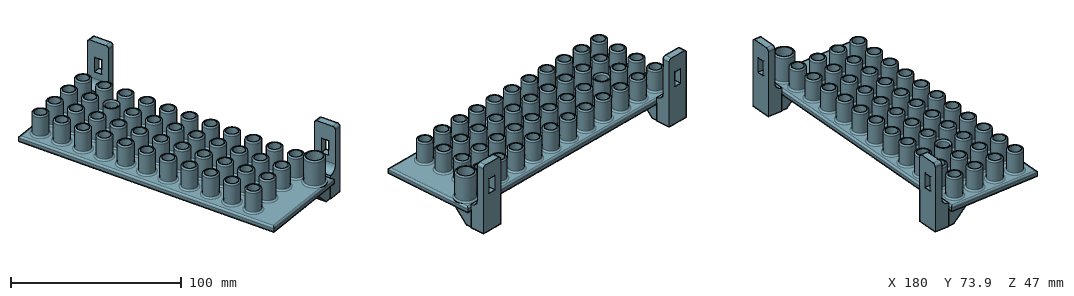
import cadquery as cq
import math

QUARTER_ARC = 1 - math.sqrt(0.5)

PLATE_LENGTH = 180.0
PLATE_DEPTH = 63.9
PLATE_TOP = 15.1
PLATE_THICKNESS = 4.3
PLATE_EDGE_RADIUS = 1.3
PLATE_BOTTOM = PLATE_TOP - PLATE_THICKNESS
PLATE_MIDDLE = PLATE_TOP - PLATE_THICKNESS / 2

COLUMN_COUNT = 11
ROW_COUNT = 4
FIRST_TO_LAST_COLUMN = 150.0
TUBE_PITCH = FIRST_TO_LAST_COLUMN / (COLUMN_COUNT - 1)
GRID_INSET = 9.0
TUBE_DIAMETER = 10.0
TUBE_BORE = 7.5
TUBE_TOP = 29.9
RIM_RADIUS = 0.9
FOOT_RADIUS = 1.0
INNER_ROUNDED_TUBE = (2, 1)

LARGE_TUBE_X = 172.0
LARGE_TUBE_DIAMETER = 13.0
LARGE_TUBE_BORE = 10.5
LARGE_TUBE_TOP = 33.0

BRACKET_INSET = 10.0
BRACKET_CENTRES = (BRACKET_INSET, PLATE_LENGTH - BRACKET_INSET)
BRACKET_WIDTH = 15.0
BRACKET_HEIGHT = 47.0
BRACKET_DEPTH = 10.0
UPRIGHT_THICKNESS = 4.9
LEDGE_HEIGHT = 16.2
COVE_RADIUS = BRACKET_DEPTH - UPRIGHT_THICKNESS
BRACKET_CORNER_RADIUS = 2.0
SLOT_WIDTH = 5.0
SLOT_HEIGHT = 10.0
SLOT_TOP = 36.0

GUSSET_WIDTH = 14.0
GUSSET_FOOT = 4.0


def make_plate():
    plate = cq.Workplane("XY").box(PLATE_LENGTH, PLATE_DEPTH, PLATE_THICKNESS, centered=False)
    plate = plate.translate((0, -PLATE_DEPTH, PLATE_BOTTOM))
    return plate.faces("<Z or >Z").edges().fillet(PLATE_EDGE_RADIUS)


def make_gusset(centre_x):
    """Wedge that runs up into the plate, to the plate's mid-height."""
    outline = [
        (0, 0),
        (-GUSSET_FOOT, 0),
        (-GUSSET_FOOT - PLATE_MIDDLE, PLATE_MIDDLE),
        (0, PLATE_MIDDLE),
    ]
    side = cq.Workplane("YZ", origin=(centre_x - GUSSET_WIDTH / 2, 0, 0))
    return side.polyline(outline).close().extrude(GUSSET_WIDTH)


def make_tube(x, y, diameter, bore, top, round_inside=False):
    """Tube with a foot flaring into the plate and one rim edge rounded, the outer one by default."""
    outer = diameter / 2
    inner = bore / 2
    foot_edge = outer + FOOT_RADIUS
    foot_middle = (outer + FOOT_RADIUS * QUARTER_ARC, PLATE_TOP + FOOT_RADIUS * QUARTER_ARC)
    rim_start = top - RIM_RADIUS
    rim_middle_z = top - RIM_RADIUS * QUARTER_ARC

    profile = (
        cq.Workplane("XZ")
        .moveTo(inner, PLATE_MIDDLE)
        .lineTo(foot_edge, PLATE_MIDDLE)
        .lineTo(foot_edge, PLATE_TOP)
        .threePointArc(foot_middle, (outer, PLATE_TOP + FOOT_RADIUS))
    )
    if round_inside:
        rim_middle = (inner + RIM_RADIUS * QUARTER_ARC, rim_middle_z)
        profile = profile.lineTo(outer, top).lineTo(inner + RIM_RADIUS, top)
        profile = profile.threePointArc(rim_middle, (inner, rim_start))
    else:
        rim_middle = (outer - RIM_RADIUS * QUARTER_ARC, rim_middle_z)
        profile = profile.lineTo(outer, rim_start)
        profile = profile.threePointArc(rim_middle, (outer - RIM_RADIUS, top)).lineTo(inner, top)
    return profile.close().revolve(360, (0, 0), (0, 1)).translate((x, y, 0))


def make_tray():
    tray = make_plate()
    for centre_x in BRACKET_CENTRES:
        tray = tray.union(make_gusset(centre_x))
    for column in range(COLUMN_COUNT):
        for row in range(ROW_COUNT):
            x = GRID_INSET + column * TUBE_PITCH
            y = -GRID_INSET - row * TUBE_PITCH
            round_inside = (column, row) == INNER_ROUNDED_TUBE
            tray = tray.union(make_tube(x, y, TUBE_DIAMETER, TUBE_BORE, TUBE_TOP, round_inside))
    large_tube = make_tube(LARGE_TUBE_X, -GRID_INSET, LARGE_TUBE_DIAMETER, LARGE_TUBE_BORE, LARGE_TUBE_TOP)
    return tray.union(large_tube)


def make_bracket(centre_x):
    """Upright with a thick base, joined by a concave round, and a slot through the upright."""
    cove_inset = COVE_RADIUS * QUARTER_ARC
    bracket = (
        cq.Workplane("YZ", origin=(centre_x - BRACKET_WIDTH / 2, 0, 0))
        .lineTo(BRACKET_DEPTH, 0)
        .lineTo(BRACKET_DEPTH, BRACKET_HEIGHT)
        .lineTo(COVE_RADIUS, BRACKET_HEIGHT)
        .lineTo(COVE_RADIUS, LEDGE_HEIGHT + COVE_RADIUS)
        .threePointArc((COVE_RADIUS - cove_inset, LEDGE_HEIGHT + cove_inset), (0, LEDGE_HEIGHT))
        .close()
        .extrude(BRACKET_WIDTH)
    )
    bracket = bracket.faces(">Z").edges("|Y").fillet(BRACKET_CORNER_RADIUS)
    slot = cq.Workplane("XY").box(SLOT_WIDTH, BRACKET_DEPTH, SLOT_HEIGHT, centered=(True, False, False))
    return bracket.cut(slot.translate((centre_x, 0, SLOT_TOP - SLOT_HEIGHT)))


tray = make_tray()
brackets = [make_bracket(centre_x) for centre_x in BRACKET_CENTRES]
result = cq.Compound.makeCompound([tray.val(), *[bracket.val() for bracket in brackets]])